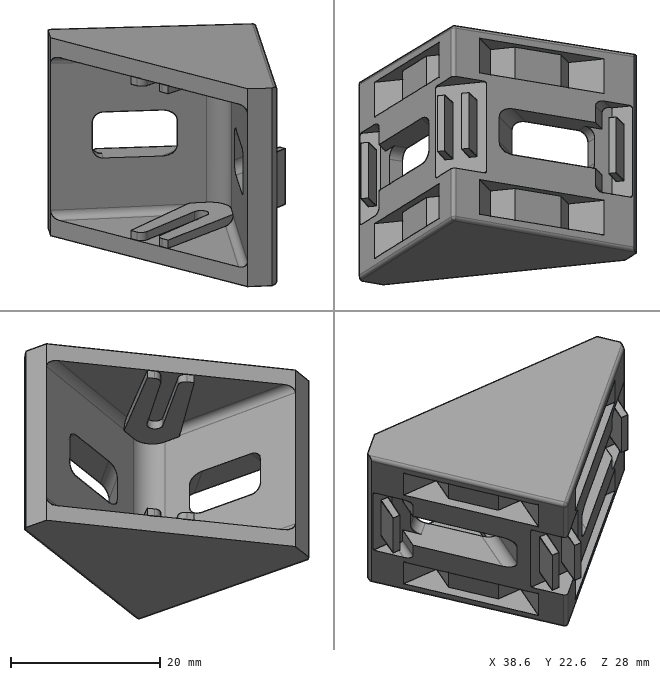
import cadquery as cq
import math


length = 38.6
width = 28.0
front_width = 33.95
outer_peak = 22.7
inner_peak = front_width / 2
half_length = length / 2
outer_draft = 0.5
edge_radius = 0.5
overrun = 3.85

mouth_height = 23.0
cavity_draft = 1.0
corner_radius = 3.05
cavity_fillet = 1.12

slot_inner_x = 4.95
slot_outer_x = 13.0
slot_height = 6.5
slot_radius = 1.45

key_thickness = 1.0
key_height = 7.87
key_draft = 1.0
corner_key_x = 1.7
corner_key_tip = 22.6
end_key_x = 17.4
end_key_tip = 6.9
recess_height = 12.97
recess_inner_fillet = 0.93
recess_outer_fillet = 0.4
corner_recess_x = 3.6
end_recess_inner_x = 15.2
end_recess_outer_x = 19.15
end_recess_chamfer = 1.05
corner_recess_floor = outer_peak - corner_recess_x
end_recess_floor = outer_peak - end_recess_outer_x

pocket_z = 10.0
pocket_height = 4.9
pocket_start_x = 2.8
pocket_end_x = 16.15
pocket_step = 5.0
pocket_rib_drop = 1.62

pad_thickness = 1.15
pad_front_width = 6.4
pad_setback = 0.08
pad_side_draft = 2.5
pad_face_draft = 1.4
pad_slot_width = 2.4
pad_slot_end_width = 2.15
pad_slot_end = 12.05
pad_tip_radius = 1.0


def drafted_slab(half_height, draft, y_start, y_end):
    """Slab across X with top and bottom leaning toward z = 0 as y grows; half_height is at y = 0."""
    slope = math.tan(math.radians(draft))
    start = half_height - slope * y_start
    end = half_height - slope * y_end
    profile = [(y_start, -start), (y_end, -end), (y_end, end), (y_start, start)]
    return cq.Workplane("YZ").polyline(profile).close().extrude(length, both=True)


def prism(points, height, z_center=0.0):
    """Upright prism on an XY outline, centred on z_center."""
    base = cq.Workplane("XY").workplane(offset=z_center - height / 2)
    return base.polyline(points).close().extrude(height)


def both_legs(shape):
    """The shape together with its mirror image on the other leg."""
    return shape.union(shape.mirror("YZ"))


def make_body():
    end_cut = half_length - inner_peak
    outline = [
        (-inner_peak, 0),
        (inner_peak, 0),
        (half_length, end_cut),
        (half_length, outer_peak - half_length),
        (0, outer_peak),
        (-half_length, outer_peak - half_length),
        (-half_length, end_cut),
    ]
    slab = drafted_slab(width / 2, outer_draft, -overrun, outer_peak + overrun)
    body = prism(outline, width + overrun).intersect(slab)
    outer_faces = body.faces(">(1, 1, 0) or >(-1, 1, 0)")
    return outer_faces.edges("not (<X or >X)").fillet(edge_radius)


def make_cavity():
    mouth = inner_peak + overrun
    outline = [(-mouth, -overrun), (mouth, -overrun), (0, inner_peak)]
    slab = drafted_slab(mouth_height / 2, cavity_draft, -overrun, inner_peak + overrun)
    cavity = prism(outline, width).edges("|Z and >Y").fillet(corner_radius).intersect(slab)
    back_rims = cavity.faces(">Z or <Z").edges("not <Y")
    return back_rims.fillet(cavity_fillet)


def make_pads():
    """Pads on both side walls, oversized outward so that the cavity trims them."""
    half_front = pad_front_width / 2
    half_back = half_front + math.tan(math.radians(pad_side_draft)) * inner_peak
    outline = [
        (-half_front, pad_setback),
        (half_front, pad_setback),
        (half_back, inner_peak),
        (-half_back, inner_peak),
    ]
    half_slot = pad_slot_width / 2
    end_radius = pad_slot_end_width / 2
    slot = (
        cq.Workplane("XY")
        .moveTo(-half_slot, -overrun)
        .lineTo(-half_slot, 0)
        .lineTo(-end_radius, pad_slot_end - end_radius)
        .threePointArc((0, pad_slot_end), (end_radius, pad_slot_end - end_radius))
        .lineTo(half_slot, 0)
        .lineTo(half_slot, -overrun)
        .close()
        .extrude(width / 2, both=True)
    )
    pads = prism(outline, width).cut(slot)
    slot_sides = cq.selectors.BoxSelector(
        (-pad_slot_width, -overrun, -width), (pad_slot_width, overrun, width)
    )
    pads = pads.faces("<Y").edges("|Z").edges(slot_sides).fillet(pad_tip_radius)
    gap_half_height = mouth_height / 2 - pad_thickness
    return pads.cut(drafted_slab(gap_half_height, pad_face_draft, -overrun, inner_peak + overrun))


def make_leg_slots():
    """Slots with the inner end wall along Y and the outer end wall square to the leg."""
    inner_rim_y = inner_peak - slot_outer_x
    outer_end_x = slot_outer_x + (outer_peak - inner_peak) / 2
    outline = [
        (-slot_inner_x, inner_rim_y),
        (-slot_outer_x, inner_rim_y),
        (-outer_end_x, outer_peak - outer_end_x),
        (-slot_inner_x, outer_peak - slot_inner_x),
    ]
    slot = prism(outline, slot_height)
    slot = slot.faces(">X").edges("|Y").fillet(slot_radius)
    slot = slot.faces("<(1, 1, 0)").edges("not |Z").fillet(slot_radius)

    shelf_peak = end_recess_floor + end_recess_chamfer + end_recess_inner_x
    opening_outline = [
        (-end_recess_inner_x, shelf_peak - end_recess_inner_x),
        (-slot_outer_x, shelf_peak - slot_outer_x),
        (-slot_outer_x, outer_peak - slot_outer_x),
        (-end_recess_inner_x, outer_peak - end_recess_inner_x),
    ]
    return both_legs(slot.union(prism(opening_outline, slot_height)))


def make_corner_recess():
    """Flat-floored notch across the outer corner of the bracket."""
    return (
        cq.Workplane("XY")
        .box(2 * corner_recess_x, overrun, recess_height, centered=(True, False, True))
        .edges("|Y").fillet(recess_outer_fillet)
        .translate((0, corner_recess_floor, 0))
    )


def make_end_recesses():
    """Recess near the free end of each leg, with a 45 degree step up to its inner wall."""
    outline = [
        (-end_recess_outer_x, end_recess_floor),
        (-end_recess_inner_x - end_recess_chamfer, end_recess_floor),
        (-end_recess_inner_x, end_recess_floor + end_recess_chamfer),
        (-end_recess_inner_x, outer_peak),
        (-end_recess_outer_x, outer_peak),
    ]
    recess = prism(outline, recess_height)
    inner_corners = recess.faces(">X").edges("|Y")
    recess = inner_corners.fillet(recess_inner_fillet)
    return both_legs(recess.faces("<X").edges("|Y").fillet(recess_outer_fillet))


def make_pockets():
    """Two right-angled notches joined over a sunken rib, four pockets in all."""
    step_drop = pocket_step - pocket_rib_drop
    inner_floor = outer_peak - pocket_start_x - pocket_step
    outer_floor = outer_peak - pocket_end_x
    rib_inner_x = pocket_start_x + step_drop
    rib_outer_x = pocket_end_x - pocket_step
    outline = [
        (-pocket_start_x, outer_peak),
        (-pocket_start_x, inner_floor),
        (-rib_inner_x, inner_floor),
        (-rib_outer_x, outer_floor + step_drop),
        (-rib_outer_x, outer_floor),
        (-pocket_end_x, outer_floor),
        (-pocket_end_x, outer_peak),
    ]
    upper = both_legs(prism(outline, pocket_height, pocket_z))
    return upper.union(upper.mirror("XY"))


def make_key(x, tip, root):
    """Pair of keys standing along Y, wider at the root than at the tip."""
    key = (
        cq.Workplane("XZ", origin=(-x, tip, 0))
        .rect(key_thickness, key_height)
        .extrude(tip - root, taper=-key_draft)
    )
    return both_legs(key)


result = (
    make_body()
    .cut(make_cavity().cut(make_pads()))
    .cut(make_leg_slots())
    .cut(make_corner_recess())
    .cut(make_end_recesses())
    .cut(make_pockets())
    .union(make_key(corner_key_x, corner_key_tip, corner_recess_floor))
    .union(make_key(end_key_x, end_key_tip, end_recess_floor))
)